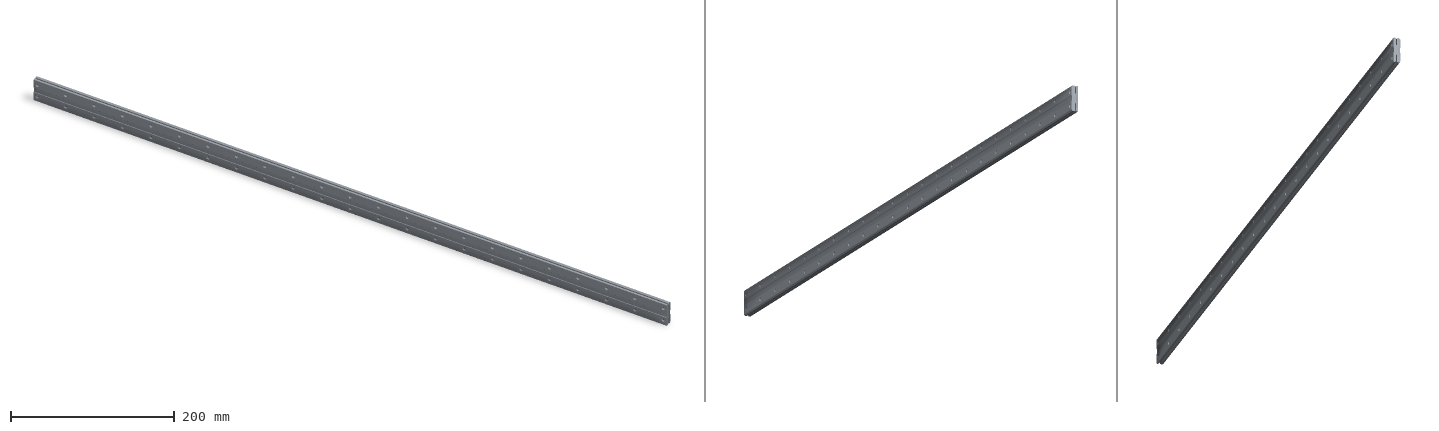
import cadquery as cq
import math

length = 890.0
thickness = 9.0
height = 33.0

front_chamfer = 0.5
back_chamfer = 1.6

channel_width = 7.0
channel_depth = 0.5

slot_width = 1.5
slot_depth = 10.0
slot_back_wall_y = 0.0
mouth_flare = 1.5
mouth_slope_degrees = 22.5

hole_diameter = 4.5
hole_pitch = 40.0
holes_per_row = 23
hole_row_z = 9.0


def half_profile():
    """Points of the cross-section's upper half as (y, z), from the front face to the back face."""
    half_thickness = thickness / 2
    top_z = height / 2
    channel_edge_z = channel_width / 2
    channel_floor_z = channel_edge_z - channel_depth
    channel_floor_y = half_thickness - channel_depth
    slot_front_wall_y = slot_back_wall_y - slot_width
    slot_floor_z = top_z - slot_depth
    mouth_z = top_z - mouth_flare * math.tan(math.radians(mouth_slope_degrees))
    return [
        (-channel_floor_y, channel_floor_z),
        (-half_thickness, channel_edge_z),
        (-half_thickness, top_z - front_chamfer),
        (-half_thickness + front_chamfer, top_z),
        (slot_front_wall_y - mouth_flare, top_z),
        (slot_front_wall_y, mouth_z),
        (slot_front_wall_y, slot_floor_z),
        (slot_back_wall_y, slot_floor_z),
        (slot_back_wall_y, mouth_z),
        (slot_back_wall_y + mouth_flare, top_z),
        (half_thickness - back_chamfer, top_z),
        (half_thickness, top_z - back_chamfer),
        (half_thickness, channel_edge_z),
        (channel_floor_y, channel_floor_z),
    ]


def make_rail():
    """Extrusion of the cross-section, whose lower half mirrors the upper one."""
    upper = half_profile()
    lower = [(y, -z) for y, z in reversed(upper)]
    return cq.Workplane("YZ").polyline(upper + lower).close().extrude(length / 2, both=True)


def make_holes():
    """Both rows of holes, running through the full thickness."""
    first_x = -hole_pitch * (holes_per_row - 1) / 2
    centers = [
        (first_x + index * hole_pitch, row_z)
        for row_z in (-hole_row_z, hole_row_z)
        for index in range(holes_per_row)
    ]
    return (
        cq.Workplane("XZ")
        .pushPoints(centers)
        .circle(hole_diameter / 2)
        .extrude(thickness, both=True)
    )


result = make_rail().cut(make_holes()).solids()